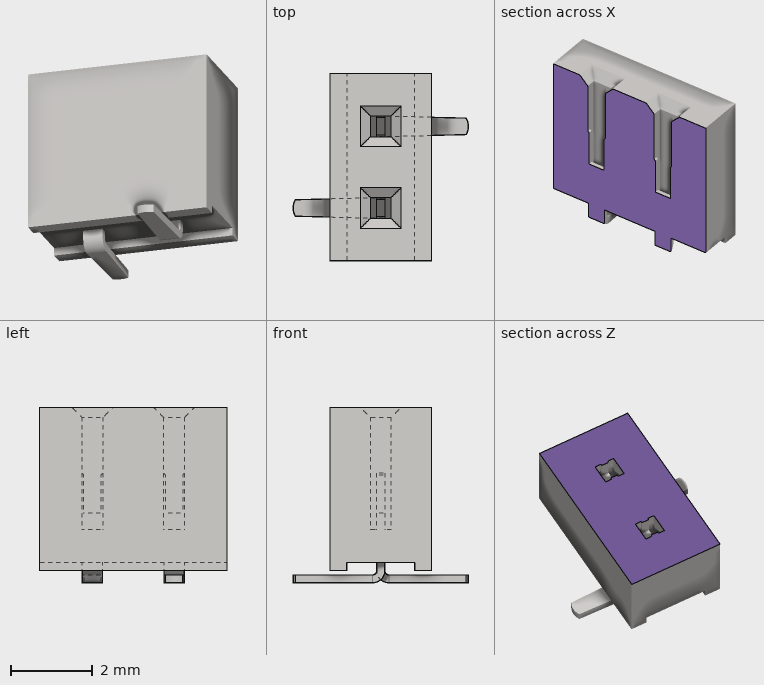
import cadquery as cq


body_length = 4.6
body_width = 2.5
body_height = 4.0
recess_height = 0.2
recess_width = 1.655

pitch = 2.0

mouth_size = 1.0
hole_size = 0.51
funnel_depth = (mouth_size - hole_size) / 2
hole_depth = 2.99

metal_thickness = 0.2
prong_thickness = 0.04
prong_height = 1.38
base_height = 0.4

tail_span = 4.3
tail_drop = 0.3
stem_width = 0.5
tip_width = 0.41
tip_bulge = 0.055
inner_bend_radius = 0.1
outer_bend_radius = inner_bend_radius + metal_thickness

hole_floor = body_height - hole_depth


def make_housing():
    """Block with a shallow recess along its underside, leaving two standing edges."""
    on_base = (True, True, False)
    block = cq.Workplane("XY").box(body_width, body_length, body_height, centered=on_base)
    recess = cq.Workplane("XY").box(recess_width, body_length, recess_height, centered=on_base)
    return block.cut(recess)


def make_socket_hole():
    """Funnel tapering from the mouth to the hole, then the straight hole down to its floor."""
    funnel = (
        cq.Workplane("XY", origin=(0, 0, body_height))
        .rect(mouth_size, mouth_size)
        .workplane(offset=-funnel_depth)
        .rect(hole_size, hole_size)
        .loft(ruled=True)
    )
    hole = (
        cq.Workplane("XY", origin=(0, 0, hole_floor))
        .rect(hole_size, hole_size)
        .extrude(hole_depth - funnel_depth)
    )
    return funnel.union(hole)


def make_fork():
    """Raised base with two upright prongs against the hole's end walls, bevelled towards each other."""
    outer = hole_size / 2
    inner = outer - prong_thickness
    top = hole_floor + prong_height
    base_top = hole_floor + base_height
    return (
        cq.Workplane("YZ")
        .moveTo(-outer, hole_floor)
        .lineTo(outer, hole_floor)
        .lineTo(outer, top)
        .lineTo(inner, top - prong_thickness)
        .lineTo(inner, base_top)
        .lineTo(-inner, base_top)
        .lineTo(-inner, top - prong_thickness)
        .lineTo(-outer, top)
        .close()
        .extrude(metal_thickness / 2, both=True)
    )


def make_tail():
    """Stem from the recess bent into a flat foot towards +X, narrowing to a rounded tip."""
    half_metal = metal_thickness / 2
    tip_x = tail_span / 2
    bend_x = half_metal + inner_bend_radius
    foot_bottom = -tail_drop
    foot_top = foot_bottom + metal_thickness
    bend_top = foot_bottom + outer_bend_radius
    side_profile = (
        cq.Workplane("XZ")
        .moveTo(-half_metal, recess_height)
        .lineTo(-half_metal, bend_top)
        .radiusArc((bend_x, foot_bottom), -outer_bend_radius)
        .lineTo(tip_x, foot_bottom)
        .lineTo(tip_x, foot_top)
        .lineTo(bend_x, foot_top)
        .radiusArc((half_metal, bend_top), inner_bend_radius)
        .lineTo(half_metal, recess_height)
        .close()
        .extrude(stem_width / 2, both=True)
    )
    plan_outline = (
        cq.Workplane("XY", origin=(0, 0, foot_bottom))
        .moveTo(-half_metal, -stem_width / 2)
        .lineTo(bend_x, -stem_width / 2)
        .lineTo(tip_x - tip_bulge, -tip_width / 2)
        .threePointArc((tip_x, 0), (tip_x - tip_bulge, tip_width / 2))
        .lineTo(bend_x, stem_width / 2)
        .lineTo(-half_metal, stem_width / 2)
        .close()
        .extrude(tail_drop + recess_height)
    )
    return side_profile.intersect(plan_outline)


socket_hole = make_socket_hole()
fork = make_fork()
tail = make_tail()

result = make_housing()
for side, turn in ((1, 0), (-1, 180)):
    position = (0, side * pitch / 2, 0)
    turned_tail = tail.rotate((0, 0, 0), (0, 0, 1), turn)
    result = result.cut(socket_hole.translate(position))
    result = result.union(fork.translate(position))
    result = result.union(turned_tail.translate(position))